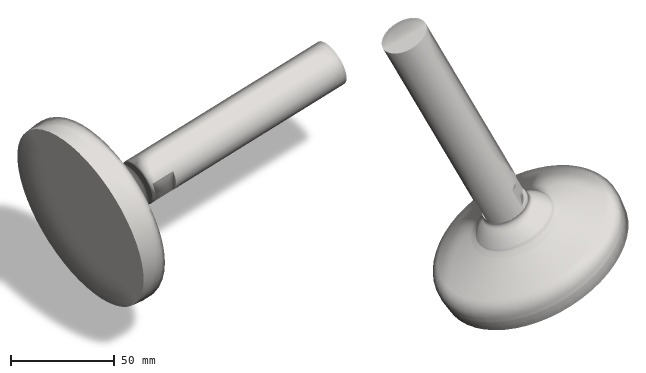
import cadquery as cq
import math

total_length = 155.0

foot_radius = 49.99
sole_radius = 49.3
taper_height = 6.2
rim_top = 9.0
shoulder_radius = 7.5
cone_angle = math.radians(20)
dome_radius = 25.7
dome_apex = 35.3
dome_base = 25.3
blend_height = 1.4

stem_radius = 12.01
stem_bottom = 35.2
stem_chamfer = 0.5
flat_offset = 9.6
flat_bottom = 36.9
flat_top = 49.6


def make_foot():
    """Revolve the sole, rounded rim, cone and dome about the Y axis."""
    shoulder_center = foot_radius - shoulder_radius

    def shoulder_point(angle):
        return (
            shoulder_center + shoulder_radius * math.cos(angle),
            rim_top + shoulder_radius * math.sin(angle),
        )

    shoulder_sweep = math.pi / 2 - cone_angle
    shoulder_end = shoulder_point(shoulder_sweep)
    cone_top = dome_base - blend_height
    cone_run = (cone_top - shoulder_end[1]) / math.tan(cone_angle)
    cone_top_radius = shoulder_end[0] - cone_run

    dome_center = dome_apex - dome_radius
    dome_sweep = math.acos((dome_base - dome_center) / dome_radius)

    def dome_point(angle):
        return (
            dome_radius * math.sin(angle),
            dome_center + dome_radius * math.cos(angle),
        )

    profile = (
        cq.Workplane("XY")
        .moveTo(0, 0)
        .lineTo(sole_radius, 0)
        .lineTo(foot_radius, taper_height)
        .lineTo(foot_radius, rim_top)
        .threePointArc(shoulder_point(shoulder_sweep / 2), shoulder_end)
        .lineTo(cone_top_radius, cone_top)
        .lineTo(*dome_point(dome_sweep))
        .threePointArc(dome_point(dome_sweep / 2), (0, dome_apex))
        .close()
    )
    return profile.revolve(360, (0, 0, 0), (0, 1, 0))


def make_stem():
    """Round stem with a chamfered lower end and two opposite flats."""
    stem = (
        cq.Workplane("XZ", origin=(0, stem_bottom, 0))
        .circle(stem_radius)
        .extrude(stem_bottom - total_length)
        .faces("<Y")
        .chamfer(stem_chamfer)
    )
    flat_length = flat_top - flat_bottom
    for side in (-1, 1):
        cutter = (
            cq.Workplane("XY")
            .box(stem_radius, flat_length, 2 * stem_radius)
            .translate((side * (flat_offset + stem_radius / 2), flat_bottom + flat_length / 2, 0))
        )
        stem = stem.cut(cutter)
    return stem


foot = make_foot()
stem = make_stem()
result = foot.union(stem)